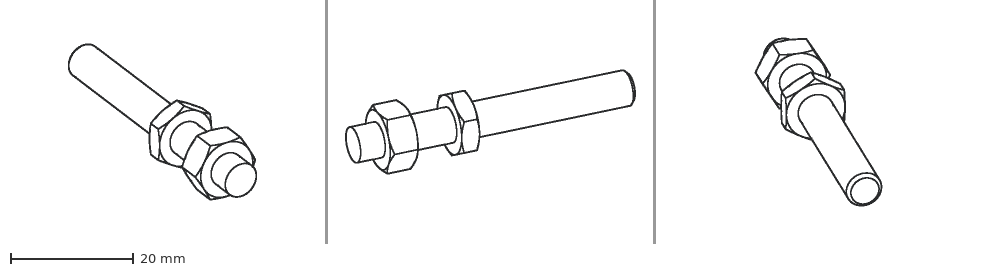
import cadquery as cq
import math

length = 50.0
stud_radius = 3.0
tip_chamfer = 0.6
dome_height = 0.6

across_flats = 10.0
across_corners = across_flats / math.cos(math.pi / 6)
nut_chamfer_angle = 30.0
thin_nut_start = 29.0
thin_nut_thickness = 3.2
thick_nut_start = 40.0
thick_nut_thickness = 5.0


def make_stud():
    """Round stud with a chamfered start and a domed far end."""
    dome_base = length - dome_height
    sphere_radius = (stud_radius**2 + dome_height**2) / (2 * dome_height)
    mid_angle = math.asin(stud_radius / sphere_radius) / 2
    dome_middle = (
        length - sphere_radius * (1 - math.cos(mid_angle)),
        sphere_radius * math.sin(mid_angle),
    )
    return (
        cq.Workplane("XY")
        .lineTo(0, stud_radius - tip_chamfer)
        .lineTo(tip_chamfer, stud_radius)
        .lineTo(dome_base, stud_radius)
        .threePointArc(dome_middle, (length, 0))
        .close()
        .revolve(360, (0, 0, 0), (1, 0, 0))
    )


def make_nut(start, thickness, turn):
    """Hexagon nut with conical corner chamfers; turn 0 puts corners on the Y axis."""
    hexagon = (
        cq.Workplane("YZ")
        .polygon(6, across_corners)
        .extrude(thickness)
        .rotate((0, 0, 0), (1, 0, 0), turn)
    )
    face_radius = across_flats / 2
    corner_radius = across_corners / 2
    drop = (corner_radius - face_radius) * math.tan(math.radians(nut_chamfer_angle))
    envelope = (
        cq.Workplane("XY")
        .lineTo(0, face_radius)
        .lineTo(drop, corner_radius)
        .lineTo(thickness - drop, corner_radius)
        .lineTo(thickness, face_radius)
        .lineTo(thickness, 0)
        .close()
        .revolve(360, (0, 0, 0), (1, 0, 0))
    )
    return hexagon.intersect(envelope).translate((start, 0, 0))


thin_nut = make_nut(thin_nut_start, thin_nut_thickness, 90)
thick_nut = make_nut(thick_nut_start, thick_nut_thickness, 0)
result = make_stud().union(thin_nut).union(thick_nut)